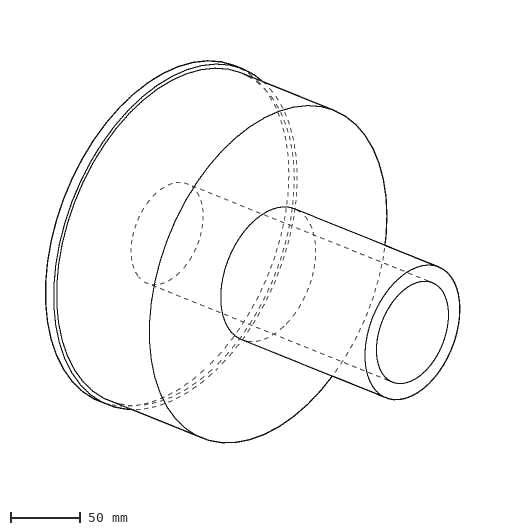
import cadquery as cq

flange_diameter = 260.4
drum_diameter = 254.0
shaft_diameter = 101.5
bore_diameter = 77.0

flange_thickness = 8.0
drum_end = 98.2
overall_length = 238.2


def cylinder_along_x(diameter, start, end):
    """Solid cylinder centred on the X axis between two X positions."""
    return cq.Workplane("YZ", origin=(start, 0, 0)).circle(diameter / 2).extrude(end - start)


flange = cylinder_along_x(flange_diameter, 0, flange_thickness)
drum = cylinder_along_x(drum_diameter, flange_thickness, drum_end)
shaft = cylinder_along_x(shaft_diameter, drum_end, overall_length)

bore = cylinder_along_x(bore_diameter, 0, overall_length)

result = flange.union(drum).union(shaft).cut(bore)